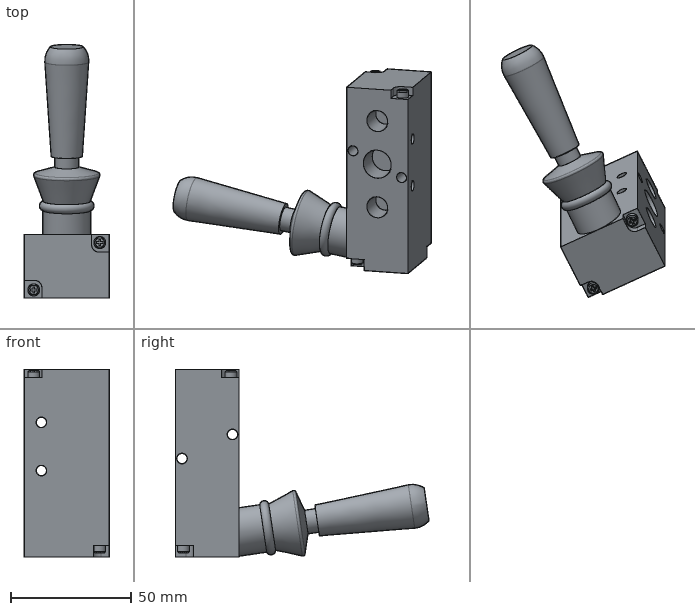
import cadquery as cq
import math

block_width = 35.4
block_depth = 26.5
block_height = 78.0
base_height = 21.0
top_cap_height = 7.1
body_height = block_height - base_height - top_cap_height
body_middle = base_height + body_height / 2

port_depth = 12.0
port_spacing = 18.5
centre_port_diameter = 12.0
outer_port_diameter = 9.0
diameter_taper = 1 / 16
port_taper = math.degrees(math.atan(diameter_taper / 2))

mount_hole_diameter = 4.2
front_hole_x = 7.2
front_hole_spacing = 20.0
side_hole_spacing_y = 21.0
side_hole_spacing_z = 10.0

screw_inset_x = 4.0
screw_inset_y = 3.4
head_diameter = 5.0
head_height = 3.0
head_chamfer = 0.5
cross_length = 2.5
cross_width = 0.7
cross_depth = 0.8
pocket_corner_radius = 3.2
top_pocket_x = 7.4
top_pocket_y = 7.4
top_pocket_depth = 3.5
bottom_pocket_x = 6.6
bottom_pocket_y = 7.6
bottom_pocket_depth = 4.7

lever_tilt = 8.4
lever_z = 10.4
lever_root = -2.1
boss_radius = 10.0
bead_start = 10.1
bead_end = 13.9
bead_radius = 11.4
collar_start_radius = 9.8
rim_station = 25.5
rim_radius = 14.1
rim_fillet = 1.0
collar_end = 28.3
neck_diameter = 10.0
neck_radius = neck_diameter / 2
grip_start = 32.8
grip_start_radius = 6.5
cap_start = 72.4
cap_start_radius = 9.2
grip_end_radius = 6.9
overall_depth = 105.5
tilt = math.radians(lever_tilt)
grip_end = (overall_depth - block_depth - grip_end_radius * math.sin(tilt)) / math.cos(tilt)


def make_block():
    return cq.Workplane("XY").box(block_width, block_depth, block_height, centered=False)


def side_hole(y, z, diameter, depth, taper=0):
    """Round cutter running in +X from the left side face, narrowing by the taper angle."""
    return cq.Workplane("YZ").center(y, z).circle(diameter / 2).extrude(depth, taper=taper)


def front_hole(x, z):
    """Cylinder running in +Y through the whole block."""
    return cq.Workplane("XZ").center(x, z).circle(mount_hole_diameter / 2).extrude(-block_depth)


def drill_ports(block):
    middle_y = block_depth / 2
    block = block.cut(side_hole(middle_y, body_middle, centre_port_diameter, port_depth, port_taper))
    for side in (-1, 1):
        z = body_middle + side * port_spacing
        block = block.cut(side_hole(middle_y, z, outer_port_diameter, port_depth, port_taper))
    return block


def drill_mounting_holes(block):
    for side in (-1, 1):
        y = block_depth / 2 + side * side_hole_spacing_y / 2
        z = body_middle + side * side_hole_spacing_z / 2
        block = block.cut(side_hole(y, z, mount_hole_diameter, block_width))
        block = block.cut(front_hole(front_hole_x, body_middle + side * front_hole_spacing / 2))
    return block


def corner_pocket(size_x, size_y, depth):
    """Pocket cutter at the front left top corner, with its floor at Z = 0."""
    cutter = cq.Workplane("XY").box(size_x, size_y, depth, centered=False)
    return cutter.edges("|Z and >X and >Y").fillet(pocket_corner_radius)


def screw_head():
    """Cross-recessed screw head at the front left corner, standing on Z = 0."""
    head = cq.Workplane("XY").circle(head_diameter / 2).extrude(head_height)
    head = head.faces(">Z").chamfer(head_chamfer)
    recess = cq.Workplane("XY").workplane(offset=head_height - cross_depth)
    head = head.cut(recess.rect(cross_length, cross_width).extrude(cross_depth))
    head = head.cut(recess.rect(cross_width, cross_length).extrude(cross_depth))
    return head.translate((screw_inset_x, screw_inset_y, 0))


def half_turn(shape):
    """Copy turned to the opposite corner about the vertical centre line of the block."""
    centre = (block_width / 2, block_depth / 2)
    return shape.rotate((*centre, 0), (*centre, 1), 180)


def upside_down(shape, floor_z):
    """Turn a top feature over to the front right bottom corner, with its floor at floor_z."""
    middle_x = block_width / 2
    return shape.mirror("XY").mirror("YZ", (middle_x, 0, 0)).translate((0, 0, floor_z))


def add_corner_screws(block):
    top_floor = (0, 0, block_height - top_pocket_depth)
    top_pocket = corner_pocket(top_pocket_x, top_pocket_y, top_pocket_depth).translate(top_floor)
    top_screw = screw_head().translate(top_floor)
    bottom_pocket = corner_pocket(bottom_pocket_x, bottom_pocket_y, bottom_pocket_depth)
    bottom_pocket = upside_down(bottom_pocket, bottom_pocket_depth)
    bottom_screw = upside_down(screw_head(), bottom_pocket_depth)
    for pocket, screw in ((top_pocket, top_screw), (bottom_pocket, bottom_screw)):
        block = block.cut(pocket).cut(half_turn(pocket))
        block = block.union(screw).union(half_turn(screw))
    return block


def make_lever():
    """Boss, bead, flared collar, neck and grip, from a half profile of (radius, station)."""
    bead_middle = (bead_start + bead_end) / 2
    shank = (
        cq.Workplane("XY")
        .moveTo(0, lever_root)
        .lineTo(boss_radius, lever_root)
        .lineTo(boss_radius, bead_start)
        .threePointArc((bead_radius, bead_middle), (collar_start_radius, bead_end))
        .lineTo(rim_radius, rim_station)
        .lineTo(neck_radius, collar_end)
        .lineTo(0, collar_end)
        .close()
        .revolve(360, (0, 0), (0, 1))
    )
    largest_circle = cq.selectors.RadiusNthSelector(-1)
    shank = shank.edges("%CIRCLE").edges(largest_circle).fillet(rim_fillet)
    handle = (
        cq.Workplane("XY")
        .moveTo(0, collar_end)
        .lineTo(neck_radius, collar_end)
        .lineTo(neck_radius, grip_start)
        .lineTo(grip_start_radius, grip_start)
        .lineTo(cap_start_radius, cap_start)
        .tangentArcPoint((grip_end_radius, grip_end), relative=False)
        .lineTo(0, grip_end)
        .close()
        .revolve(360, (0, 0), (0, 1))
    )
    lever = shank.union(handle).rotate((0, 0, 0), (1, 0, 0), lever_tilt)
    return lever.translate((block_width / 2, block_depth, lever_z))


block = add_corner_screws(drill_mounting_holes(drill_ports(make_block())))
result = block.union(make_lever())